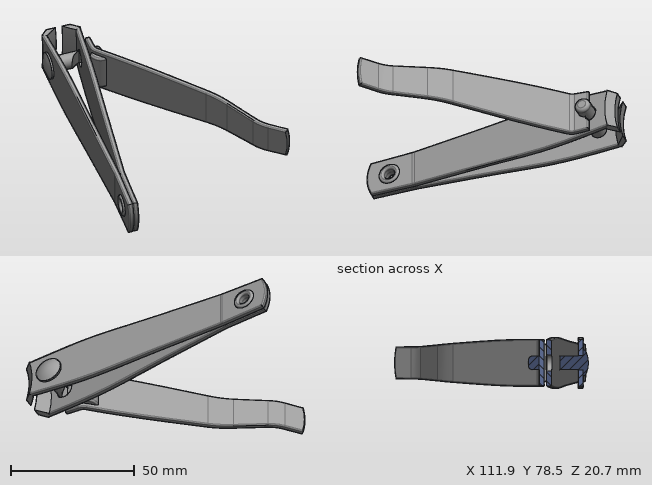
import cadquery as cq
import math


PLATE = 2.1
EDGE_ROUND = 0.5
LENGTH_MATCH = 0.02
CUT_DEPTH = 200.0

JAW_LENGTH = 111.86
JAW_BEND = 91.0
BEND_RADIUS = 14.0
TAIL_DROP = 3.0
UPPER_TRIM = 0.27
UPPER_DROP = 7.88
BLADE_START_HALF = 8.05
BLADE_HALF = 8.4
JAW_END_HALF = 7.5
JAW_END_SAG = 1.8
JAW_EDGE = [(4, 8.75), (14.5, 9.6), (30, 10.335), (54, 9.4), (71, 8.7), (88, 8.1)]
JAW_OVERRUN = 4.0
BLADE_SAG = 1.2
BLADE_SWEEP = 25
MARGIN = 1.0

LOWER_BLADE = [(0, 2.9), (0, 6.85), (3.7, PLATE), (2.9, 0)]
UPPER_BLADE = [(-0.62, 3.67), (-0.135, 7.13), (3.55, PLATE), (2.0, 0)]

POST_X = 12.0
POST_RADIUS = 3.25
POST_TOP = 22.25
POST_TOP_ROUND = 1.5
POST_CLEARANCE = 0.3
HEAD_RADIUS = 5.55
HEAD_RIM = 0.8
HEAD_HEIGHT = 2.3
SCOOP_BOTTOM = 8.6
SCOOP_BULGE = 0.55
NECK_X = 11.0
NECK_Y = 13.0

LEVER_START = 10.8
LEVER_Y = 16.75
LEVER_PATH = [(LEVER_START, LEVER_Y), (18.25, LEVER_Y), (60.6, 55.35), (80.5, 66.36), (88.3, 75.7)]
LEVER_BEND_RADII = [4.0, 45.0, 18.0]
LEVER_EDGE = [(9, 9.0), (24, 9.55), (32, 9.4), (58.3, 7.8), (90, 6.5)]
LEVER_END_RADIUS = 26.0
LEVER_OVERRUN = 2.5
FORK_MOUTH_HALF = 4.7
FORK_ROOT_HALF = 3.4
FORK_ROOT_X = 12.0
RIDGE_START = -0.4
RIDGE_END = 6.4
RIDGE_FRONT = 1.1
RIDGE_HEIGHT = 2.15
RIDGE_CREST = 2.2
RIDGE_WIDTH = 15.4
RIDGE_ROUND = 0.8

RIVET_FROM_BEND = 10.75
RIVET_BORE = 2.3
RIVET_SHANK = 3.3
RIVET_FLANGE = 4.5
RIVET_HEIGHT = 0.7
RIVET_FLARE = 1.0
RIVET_BULGE = 0.28


def heading(start, end):
    return math.atan2(end[1] - start[1], end[0] - start[0])


def offset_path(path, distance):
    """Points of a polyline shifted to its left by a distance, with mitred corners."""
    angles = [heading(a, b) for a, b in zip(path, path[1:])]
    before = angles[:1] + angles
    after = angles + angles[-1:]
    points = []
    for (x, y), a, b in zip(path, before, after):
        middle = (a + b) / 2
        reach = distance / math.cos((b - a) / 2)
        points.append((x - reach * math.sin(middle), y + reach * math.cos(middle)))
    return points


def bend_arc(before, corner, after, radius):
    """Start, middle and end of the arc that rounds a polyline corner."""
    incoming = heading(before, corner)
    outgoing = heading(corner, after)
    half_turn = math.remainder(outgoing - incoming, 2 * math.pi) / 2
    tangent = radius * math.tan(abs(half_turn))
    sagitta = radius * (1 / math.cos(half_turn) - 1)
    inward = incoming + half_turn + math.copysign(math.pi / 2, half_turn)
    x, y = corner
    start = (x - tangent * math.cos(incoming), y - tangent * math.sin(incoming))
    middle = (x + sagitta * math.cos(inward), y + sagitta * math.sin(inward))
    end = (x + tangent * math.cos(outgoing), y + tangent * math.sin(outgoing))
    return start, middle, end


def follow(profile, points, radii):
    """Continue a profile through points, rounding each inner corner to its radius."""
    for i, radius in enumerate(radii, start=1):
        start, middle, end = bend_arc(points[i - 1], points[i], points[i + 1], radius)
        profile = profile.lineTo(*start).threePointArc(middle, end)
    return profile.lineTo(*points[-1])


def bent_strip(path, bend_radii, half_width):
    """Plate of constant thickness along a polyline, with a mid-plane radius at each bend."""
    left = offset_path(path, PLATE / 2)
    right = offset_path(path, -PLATE / 2)
    turns = [heading(b, c) - heading(a, b) for a, b, c in zip(path, path[1:], path[2:])]
    left_radii = [r - math.copysign(PLATE / 2, turn) for r, turn in zip(bend_radii, turns)]
    right_radii = [r + math.copysign(PLATE / 2, turn) for r, turn in zip(bend_radii, turns)]
    profile = follow(cq.Workplane("XY").moveTo(*left[0]), left, left_radii).lineTo(*right[-1])
    profile = follow(profile, right[::-1], right_radii[::-1])
    return profile.close().extrude(2 * half_width).translate((0, 0, -half_width))


def round_outline(plate, end_edges=()):
    """Round the long edges of a plate and any chosen end edges; bend and thickness edges stay sharp."""
    edges = [e for e in plate.edges("not |Z").vals() if abs(e.Length() - PLATE) > LENGTH_MATCH]
    return plate.newObject(edges + list(end_edges)).fillet(EDGE_ROUND)


def jaw_outline(length):
    """Symmetric jaw silhouette, as a prism along Y."""
    end_x = length - JAW_END_SAG
    upper = [(-JAW_OVERRUN, BLADE_START_HALF)] + JAW_EDGE + [(end_x, JAW_END_HALF)]
    lower = [(x, -z) for x, z in upper[::-1]]
    return (
        cq.Workplane("XZ", origin=(0, CUT_DEPTH / 2, 0))
        .moveTo(*lower[-1])
        .lineTo(*upper[0])
        .spline(upper[1:], includeCurrent=True)
        .threePointArc((length, 0), lower[0])
        .spline(lower[1:], includeCurrent=True)
        .close()
        .extrude(CUT_DEPTH)
    )


def swept_blade(section):
    """Section turned about an axis along Y, so that the cutting edge is a concave arc."""
    arc_radius = (BLADE_HALF**2 + BLADE_SAG**2) / (2 * BLADE_SAG)
    axis_x = BLADE_SAG - arc_radius
    shifted = [(x + BLADE_SAG, y) for x, y in section]
    turned = cq.Workplane("XY").polyline(shifted).close()
    turned = turned.revolve(2 * BLADE_SWEEP, (axis_x, 0, 0), (axis_x, 1, 0))
    return turned.rotate((axis_x, 0, 0), (axis_x, 1, 0), -BLADE_SWEEP)


def make_jaw(blade_section, tail_angle, length):
    """Jaw in its own frame: outer face on Y = 0, inner side toward +Y, tail sloping outward."""
    angle = math.radians(tail_angle)
    tail = length - JAW_BEND + PLATE
    mid = PLATE / 2
    path = [
        (-JAW_OVERRUN, mid),
        (JAW_BEND, mid),
        (JAW_BEND + tail * math.cos(angle), mid - tail * math.sin(angle)),
    ]
    outline = jaw_outline(length)
    plate = round_outline(bent_strip(path, [BEND_RADIUS], CUT_DEPTH / 2).intersect(outline))

    inner_bend, outer_bend = blade_section[2:]
    slope = (outer_bend[0] - inner_bend[0]) / PLATE
    waste_section = [
        (-2 * JAW_OVERRUN, -MARGIN),
        (outer_bend[0] + slope * MARGIN, -MARGIN),
        (inner_bend[0] - slope * MARGIN, PLATE + MARGIN),
        (-2 * JAW_OVERRUN, PLATE + MARGIN),
    ]
    blade = swept_blade(blade_section).intersect(outline)
    return plate.cut(swept_blade(waste_section)).union(blade)


def inner_bend_x(tail_angle):
    """Place of the mitred bend line on the inner face of a jaw."""
    return JAW_BEND + PLATE / 2 * math.tan(math.radians(tail_angle / 2))


def place_upper(body):
    """Turn a jaw over and lay its tail on the tail of the lower jaw."""
    flipped = body.mirror("XZ").translate((-inner_bend_x(UPPER_DROP - TAIL_DROP), PLATE, 0))
    turned = flipped.rotate((0, 0, 0), (0, 0, 1), -UPPER_DROP)
    return turned.translate((inner_bend_x(TAIL_DROP), PLATE, 0))


def post_cylinder(radius):
    """Endless cylinder on the post axis."""
    return cq.Workplane("XZ", origin=(POST_X, 0, 0)).circle(radius).extrude(CUT_DEPTH / 2, both=True)


def make_post():
    """Domed head, round stem and the hollow on the +X side that the lever foot hooks into."""
    dome_rise = HEAD_HEIGHT - HEAD_RIM
    dome_radius = (HEAD_RADIUS**2 + dome_rise**2) / (2 * dome_rise)
    half_angle = math.asin(HEAD_RADIUS / dome_radius) / 2
    dome_middle = (
        dome_radius * math.sin(half_angle),
        dome_radius * (1 - math.cos(half_angle)) - HEAD_HEIGHT,
    )
    body = (
        cq.Workplane("XY")
        .moveTo(0, -HEAD_HEIGHT)
        .threePointArc(dome_middle, (HEAD_RADIUS, -HEAD_RIM))
        .lineTo(HEAD_RADIUS, 0)
        .lineTo(POST_RADIUS, 0)
        .lineTo(POST_RADIUS, POST_TOP)
        .lineTo(0, POST_TOP)
        .close()
        .revolve(360, (0, 0, 0), (0, 1, 0))
        .faces(">Y")
        .edges()
        .fillet(POST_TOP_ROUND)
        .translate((POST_X, 0, 0))
    )
    edge_x = POST_X + POST_RADIUS
    lever_top = LEVER_Y + PLATE / 2
    scoop = (
        cq.Workplane("XY")
        .moveTo(edge_x, SCOOP_BOTTOM)
        .sagittaArc((NECK_X, NECK_Y), SCOOP_BULGE)
        .lineTo(FORK_ROOT_X, LEVER_Y - PLATE / 2)
        .lineTo(FORK_ROOT_X, lever_top)
        .lineTo(edge_x, lever_top)
        .close()
        .extrude(HEAD_RADIUS, both=True)
    )
    return body.cut(scoop)


def lever_ridge():
    """Rounded pad under the lever, just past the foot bend, that presses on the upper jaw."""
    bend, far = LEVER_PATH[1:3]
    face = -PLATE / 2
    ridge = (
        cq.Workplane("XY", origin=(0, 0, -RIDGE_WIDTH / 2))
        .moveTo(RIDGE_START, 0)
        .lineTo(RIDGE_START, face - RIDGE_FRONT)
        .threePointArc((RIDGE_CREST, face - RIDGE_HEIGHT), (RIDGE_END, face))
        .lineTo(RIDGE_END, 0)
        .close()
        .extrude(RIDGE_WIDTH)
        .faces("<Z or >Z")
        .edges("%CIRCLE")
        .fillet(RIDGE_ROUND)
    )
    return ridge.rotate((0, 0, 0), (0, 0, 1), math.degrees(heading(bend, far))).translate((*bend, 0))


def lever_outline():
    """Symmetric lever silhouette, as a prism along Y."""
    lower = [(x, -z) for x, z in LEVER_EDGE[::-1]]
    return (
        cq.Workplane("XZ", origin=(0, CUT_DEPTH / 2, 0))
        .moveTo(*LEVER_EDGE[0])
        .spline(LEVER_EDGE[1:], includeCurrent=True)
        .lineTo(*lower[0])
        .spline(lower[1:], includeCurrent=True)
        .close()
        .extrude(CUT_DEPTH)
    )


def lever_tip_waste():
    """Material beyond the rounded free end of the lever."""
    before, tip = LEVER_PATH[-2:]
    block = cq.Workplane("XZ").rect(2 * LEVER_OVERRUN, 4 * BLADE_HALF).extrude(2 * PLATE, both=True)
    disc = cq.Workplane("XZ").center(-LEVER_END_RADIUS, 0).circle(LEVER_END_RADIUS)
    disc = disc.extrude(2 * PLATE, both=True)
    angle = math.degrees(heading(before, tip))
    return block.cut(disc).rotate((0, 0, 0), (0, 0, 1), angle).translate((*tip, 0))


def make_lever():
    """Bent lever with a forked foot around the post neck and a ridge on its underside."""
    strip = bent_strip(LEVER_PATH, LEVER_BEND_RADII, CUT_DEPTH / 2)
    fork = [
        (LEVER_START, FORK_MOUTH_HALF),
        (FORK_ROOT_X, FORK_ROOT_HALF),
        (FORK_ROOT_X, -FORK_ROOT_HALF),
        (LEVER_START, -FORK_MOUTH_HALF),
    ]
    notch = cq.Workplane("XZ", origin=(0, CUT_DEPTH / 2, 0)).polyline(fork).close().extrude(CUT_DEPTH)
    strip = strip.intersect(lever_outline()).cut(lever_tip_waste()).cut(notch)
    fork_end = strip.edges("|Z").filter(lambda edge: edge.Center().x < FORK_ROOT_X - EDGE_ROUND)
    return round_outline(strip, fork_end.vals()).union(lever_ridge())


def place_rivet(body):
    """Stand a body on the joint between the two tails, square to them."""
    moved = body.translate((RIVET_FROM_BEND, 0, 0)).rotate((0, 0, 0), (0, 0, 1), -TAIL_DROP)
    return moved.translate((inner_bend_x(TAIL_DROP), PLATE, 0))


def make_rivet():
    """Hollow rivet with a domed, flared flange on each outer face."""
    crest = PLATE + RIVET_HEIGHT
    half = (
        cq.Workplane("XY")
        .moveTo(RIVET_BORE, 0)
        .lineTo(RIVET_SHANK, 0)
        .lineTo(RIVET_SHANK, PLATE)
        .lineTo(RIVET_FLANGE, PLATE)
        .sagittaArc((RIVET_SHANK, crest), -RIVET_BULGE)
        .sagittaArc((RIVET_BORE, crest - RIVET_FLARE), -RIVET_BULGE)
        .close()
        .revolve(360, (0, 0, 0), (0, 1, 0))
    )
    return place_rivet(half.union(half.mirror("XZ")))


rivet_hole = place_rivet(cq.Workplane("XZ").circle(RIVET_SHANK).extrude(CUT_DEPTH / 2, both=True))

lower_jaw = make_jaw(LOWER_BLADE, TAIL_DROP, JAW_LENGTH).cut(post_cylinder(POST_RADIUS)).cut(rivet_hole)
upper_jaw = place_upper(make_jaw(UPPER_BLADE, UPPER_DROP - TAIL_DROP, JAW_LENGTH - UPPER_TRIM))
upper_jaw = upper_jaw.cut(post_cylinder(POST_RADIUS + POST_CLEARANCE)).cut(rivet_hole)
post = make_post()
lever = make_lever()
rivet = make_rivet()

result = cq.Compound.makeCompound([lower_jaw.val(), upper_jaw.val(), post.val(), lever.val(), rivet.val()])